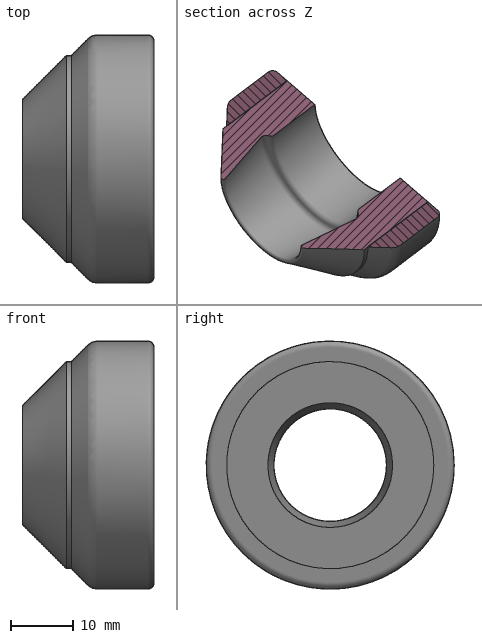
import cadquery as cq
import math

TOTAL_LENGTH = 21.22
CONE_ANGLE = math.radians(45)

SLEEVE_RADIUS = 16.7
NOSE_ROUND = 0.4

NOSE_BORE_RADIUS = 18.1 / 2
BACK_BORE_RADIUS = 20.1 / 2
BORE_TAPER = math.radians(12)
STEP_END_X = 12.2
STEP_ROUND = 0.9

RING_RADIUS = 20.0
EXPOSED_SLEEVE_LENGTH = 0.8
SHOULDER_ROUND = 2.0
BACK_ROUND = 1.0


def point_on_circle(center, radius, angle):
    """Point at an angle measured from +X toward increasing radius."""
    return (center[0] + radius * math.cos(angle), center[1] + radius * math.sin(angle))


nose_center = (NOSE_ROUND, NOSE_BORE_RADIUS + NOSE_ROUND)
nose_outer_end = point_on_circle(nose_center, NOSE_ROUND, CONE_ANGLE + math.pi / 2)
nose_tip = point_on_circle(nose_center, NOSE_ROUND, math.pi)
nose_inner_end = point_on_circle(nose_center, NOSE_ROUND, BORE_TAPER - math.pi / 2)

cone_end_x = nose_outer_end[0] + (SLEEVE_RADIUS - nose_outer_end[1]) / math.tan(CONE_ANGLE)
ring_start_x = cone_end_x + EXPOSED_SLEEVE_LENGTH
shoulder_x = ring_start_x + (RING_RADIUS - SLEEVE_RADIUS) / math.tan(CONE_ANGLE)

back_arc_center = (STEP_END_X, BACK_BORE_RADIUS + STEP_ROUND)
center_to_taper = (
    (back_arc_center[1] - nose_inner_end[1]) * math.cos(BORE_TAPER)
    - (back_arc_center[0] - nose_inner_end[0]) * math.sin(BORE_TAPER)
)
step_slope = math.acos((center_to_taper + STEP_ROUND) / (2 * STEP_ROUND)) - BORE_TAPER
toward_front_arc = -math.pi / 2 - step_slope
front_arc_center = point_on_circle(back_arc_center, 2 * STEP_ROUND, toward_front_arc)
step_middle = point_on_circle(back_arc_center, STEP_ROUND, toward_front_arc)
step_start = point_on_circle(front_arc_center, STEP_ROUND, BORE_TAPER + math.pi / 2)


def revolve_about_x(profile):
    """Turn a closed profile about the X axis."""
    return profile.revolve(360, (0, 0, 0), (1, 0, 0))


def round_outer_edge(body, x, round_radius):
    """Round the outermost circular edge in the plane at x."""
    margin = 0.01
    reach = RING_RADIUS + margin
    in_plane = cq.selectors.BoxSelector(
        (x - margin, -reach, -reach),
        (x + margin, reach, reach),
        boundingbox=True,
    )
    outermost = cq.selectors.RadiusNthSelector(-1)
    return body.edges(in_plane).edges(outermost).fillet(round_radius)


def make_sleeve():
    profile = (
        cq.Workplane("XY")
        .moveTo(*nose_inner_end)
        .threePointArc(nose_tip, nose_outer_end)
        .lineTo(cone_end_x, SLEEVE_RADIUS)
        .lineTo(TOTAL_LENGTH, SLEEVE_RADIUS)
        .lineTo(TOTAL_LENGTH, BACK_BORE_RADIUS)
        .lineTo(STEP_END_X, BACK_BORE_RADIUS)
        .radiusArc(step_middle, STEP_ROUND)
        .radiusArc(step_start, -STEP_ROUND)
        .close()
    )
    return revolve_about_x(profile)


def make_ring():
    profile = (
        cq.Workplane("XY")
        .moveTo(ring_start_x, SLEEVE_RADIUS)
        .lineTo(shoulder_x, RING_RADIUS)
        .lineTo(TOTAL_LENGTH, RING_RADIUS)
        .lineTo(TOTAL_LENGTH, SLEEVE_RADIUS)
        .close()
    )
    ring = revolve_about_x(profile)
    ring = round_outer_edge(ring, shoulder_x, SHOULDER_ROUND)
    return round_outer_edge(ring, TOTAL_LENGTH, BACK_ROUND)


sleeve = make_sleeve()
ring = make_ring()

result = cq.Compound.makeCompound([sleeve.val(), ring.val()])